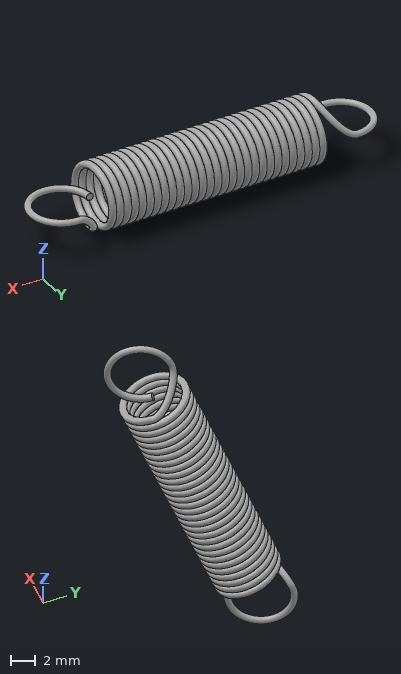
import cadquery as cq
import math

overall_length = 32.6
outer_diameter = 6.1
wire_diameter = 0.65
coil_turns = 29.5
lead_handle = 1.3

wire_radius = wire_diameter / 2
mean_radius = (outer_diameter - wire_diameter) / 2
loop_center_x = -(overall_length - outer_diameter) / 2
coil_start_x = loop_center_x + mean_radius
coil_length = -2 * coil_start_x
pitch = coil_length / coil_turns

coil_start = cq.Vector(coil_start_x, 0, mean_radius)
coil_direction = cq.Vector(pitch / (2 * math.pi), -mean_radius, 0).normalized()
loop_start = cq.Vector(loop_center_x, mean_radius, 0)
loop_direction = cq.Vector(-1, 0, 0)


def sweep_wire(path, start, direction):
    """Sweep the round wire section along a path."""
    section = cq.Workplane(cq.Plane(origin=start, normal=direction)).circle(wire_radius)
    return section.sweep(cq.Workplane(obj=path), isFrenet=True)


def make_coil():
    """Close-wound body along X, from +Z at its left end to -Z at its right end."""
    helix = cq.Wire.makeHelix(pitch, coil_length, mean_radius)
    path = helix.rotate(cq.Vector(0, 0, 0), cq.Vector(0, 1, 0), 90)
    path = path.rotate(cq.Vector(0, 0, 0), cq.Vector(1, 0, 0), 180)
    path = path.translate(cq.Vector(coil_start_x, 0, 0))
    return sweep_wire(path, coil_start, coil_direction)


def make_lead():
    """Curved wire that bends from the top of the coil down into the flat loop."""
    edge = cq.Edge.makeBezier(
        [
            coil_start,
            coil_start - coil_direction * lead_handle,
            loop_start - loop_direction * lead_handle,
            loop_start,
        ]
    )
    return sweep_wire(cq.Wire.assembleEdges([edge]), coil_start, coil_direction * -1)


def make_loop():
    """Three-quarter ring in the XY plane, open between its +X tip and its +Y side."""
    loop_center = cq.Vector(loop_center_x, 0, 0)
    edge = cq.Edge.makeThreePointArc(
        loop_start,
        loop_center + cq.Vector(-1, -1, 0).normalized() * mean_radius,
        loop_center + cq.Vector(mean_radius, 0, 0),
    )
    return sweep_wire(cq.Wire.assembleEdges([edge]), loop_start, loop_direction)


hook = make_lead().union(make_loop())
opposite_hook = hook.rotate((0, 0, 0), (0, 1, 0), 180)
result = make_coil().union(hook).union(opposite_hook)